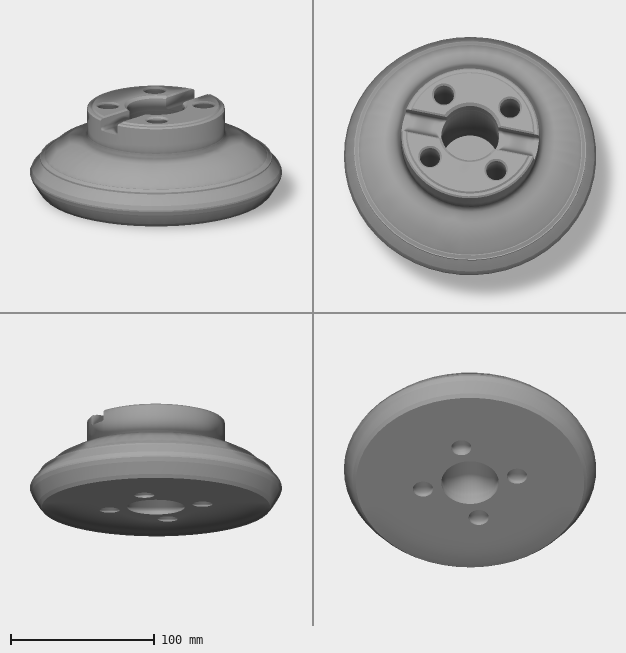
import cadquery as cq

outer_radius = 87.9
total_height = 63.0

hub_radius = 48.0
hub_chamfer = 1.0
face_radius = 44.8
face_height = 1.0
face_chamfer = 1.0
shelf_height = total_height - face_height
hub_root_fillet = 2.8

dome_top_height = 40.3
dome_mid_radius = 67.9
dome_mid_height = 34.5
dome_edge_radius = 77.5
dome_edge_height = 26.5
collar_top_radius = 78.0
collar_base_radius = 80.2

lip_radius = 80.9
lip_height = 1.0
lip_top_height = 25.0

upper_bore_radius = 40.3 / 2
lower_bore_radius = 40.0 / 2
bore_taper_top = 53.3
bore_taper_height = 1.0
bore_chamfer_width = 2.0
bore_chamfer_depth = 1.8

slot_width = 16.2
slot_depth = 9.0
slot_floor_fillet = 2.0

screw_hole_diameter = 14.0
screw_hole_spacing = 47.1
screw_countersink_diameter = 16.5
screw_countersink_depth = 1.2

ring_inner_radius = 70.3
ring_height = 22.7
ring_tip_middle = 13.7
ring_tip_flat = 1.0
ring_shoulder_radius = 86.7
ring_shoulder_offset = 3.5
ring_lower_radius = 81.7
ring_lower_height = 2.3
ring_bottom_radius = 79.6

ring_shoulder_height = ring_tip_middle + ring_shoulder_offset
cone_slope = (ring_shoulder_radius - lip_radius) / (lip_top_height - lip_height - ring_shoulder_height)
ring_top_radius = ring_shoulder_radius - cone_slope * (ring_height - ring_shoulder_height)


def revolve_outline(outline):
    """Turn a closed outline of (radius, height) about the Z axis."""
    return outline.close().revolve(360, (0, 0, 0), (0, 1, 0))


def make_blank():
    """Turned body without openings: core inside the ring, lip, dome, hub and raised face."""
    outline = (
        cq.Workplane("XZ")
        .moveTo(0, 0)
        .lineTo(ring_inner_radius, 0)
        .lineTo(ring_inner_radius, ring_height)
        .lineTo(ring_top_radius, ring_height)
        .lineTo(lip_radius, lip_top_height - lip_height)
        .lineTo(lip_radius, lip_top_height)
        .lineTo(collar_base_radius, lip_top_height)
        .lineTo(collar_top_radius, dome_edge_height)
        .lineTo(dome_edge_radius, dome_edge_height)
        .threePointArc((dome_mid_radius, dome_mid_height), (hub_radius, dome_top_height))
        .lineTo(hub_radius, shelf_height - hub_chamfer)
        .lineTo(hub_radius - hub_chamfer, shelf_height)
        .lineTo(face_radius, shelf_height)
        .lineTo(face_radius - face_chamfer, total_height)
        .lineTo(0, total_height)
    )
    hub_root = cq.selectors.NearestToPointSelector((0, 0, dome_top_height))
    return revolve_outline(outline).edges("%CIRCLE").edges(hub_root).fillet(hub_root_fillet)


def make_bore():
    """Cutter for the central bore, with its taper and top chamfer."""
    outline = (
        cq.Workplane("XZ")
        .moveTo(0, 0)
        .lineTo(lower_bore_radius, 0)
        .lineTo(lower_bore_radius, bore_taper_top - bore_taper_height)
        .lineTo(upper_bore_radius, bore_taper_top)
        .lineTo(upper_bore_radius, total_height - bore_chamfer_depth)
        .lineTo(upper_bore_radius + bore_chamfer_width, total_height)
        .lineTo(0, total_height)
    )
    return revolve_outline(outline)


def make_slot():
    """Cutter for the driving slot: rounded floor corners and chamfered top edges."""
    half_width = slot_width / 2
    channel = (
        cq.Workplane("XY")
        .box(slot_width, 2 * outer_radius, slot_depth, centered=(True, True, False))
        .edges("|Y and <Z")
        .fillet(slot_floor_fillet)
        .translate((0, 0, total_height - slot_depth))
    )
    flare = (
        cq.Workplane("XZ")
        .moveTo(-half_width, shelf_height)
        .lineTo(half_width, shelf_height)
        .lineTo(half_width + face_chamfer, total_height)
        .lineTo(-half_width - face_chamfer, total_height)
        .close()
        .extrude(outer_radius, both=True)
    )
    return channel.union(flare)


def make_screw_hole():
    """Cutter for one through hole with a countersunk top, centred on the Z axis."""
    hole_radius = screw_hole_diameter / 2
    outline = (
        cq.Workplane("XZ")
        .moveTo(0, 0)
        .lineTo(hole_radius, 0)
        .lineTo(hole_radius, total_height - screw_countersink_depth)
        .lineTo(screw_countersink_diameter / 2, total_height)
        .lineTo(0, total_height)
    )
    return revolve_outline(outline)


def make_body():
    """Body with its bore, driving slot and four screw holes."""
    body = make_blank().cut(make_bore()).cut(make_slot())
    offset = screw_hole_spacing / 2
    for x in (-offset, offset):
        for y in (-offset, offset):
            body = body.cut(make_screw_hole().translate((x, y, 0)))
    return body


def make_ring():
    """Rim ring with a flat-tipped, pointed outer section."""
    outline = (
        cq.Workplane("XZ")
        .moveTo(ring_inner_radius, 0)
        .lineTo(ring_bottom_radius, 0)
        .lineTo(ring_lower_radius, ring_lower_height)
        .lineTo(ring_shoulder_radius, ring_tip_middle - ring_shoulder_offset)
        .lineTo(outer_radius, ring_tip_middle - ring_tip_flat / 2)
        .lineTo(outer_radius, ring_tip_middle + ring_tip_flat / 2)
        .lineTo(ring_shoulder_radius, ring_shoulder_height)
        .lineTo(ring_top_radius, ring_height)
        .lineTo(ring_inner_radius, ring_height)
    )
    return revolve_outline(outline)


body = make_body()
ring = make_ring()

result = cq.Compound.makeCompound([body.val(), ring.val()])